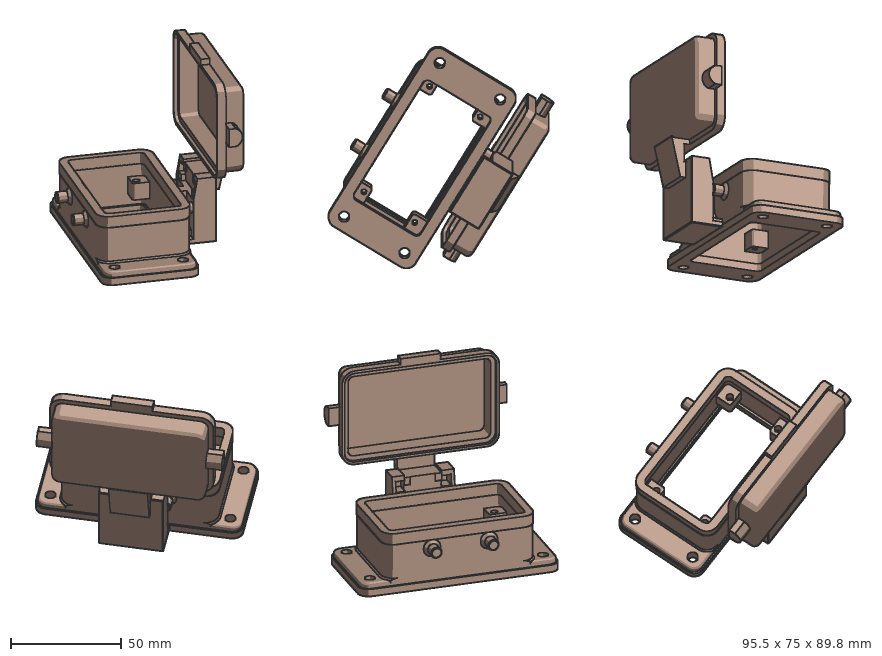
import cadquery as cq

flange_length, flange_depth, flange_height = 95.5, 45.6, 3.5
flange_radius = 5.1
flange_hole_diameter = 4.8
flange_hole_x, flange_hole_y = 41.4, 16.0

body_length, body_depth, body_radius = 72.4, 43.7, 5.9
pad_length, pad_top, pad_radius, pad_fillet = 94.0, 6.2, 4.4, 1.1
foot_size = 0.8
rim_length, rim_depth, rim_radius = 73.0, 44.1, 6.0
rim_bottom, rim_top = 23.5, 28.9
mouth_length, mouth_depth = 65.3, 35.9
cavity_length, cavity_depth, cavity_radius = 67.0, 37.4, 2.3
opening_length, opening_depth = 64.4, 35.3

boss_inner_x, boss_inner_y, boss_radius = 25.1, 10.8, 1.3
boss_bottom, boss_top = 9.2, 17.3
boss_hole_x, boss_hole_y = 28.5, 13.5
boss_hole_diameter, boss_pilot_diameter, boss_hole_depth = 3.15, 2.3, 4.8

peg_x, peg_z, peg_radius, peg_tip_y = 13.7, 19.5, 2.6, 28.3
peg_cone_radius, peg_cone_length, peg_chamfer = 4.1, 1.5, 0.4

hinge_half_width, hinge_front, hinge_back = 14.9, 28.4, 39.2
hinge_bottom, hinge_top, hinge_slope_z = 1.9, 33.6, 23.5
hinge_slope_setback, hinge_chamfer = 1.8, 0.4
hinge_lip_front, hinge_lip_top = 23.6, 4.2
cheek_thickness = 1.6
pocket_bottom, pocket_top, pocket_back = 26.3, 31.2, 35.3
ledge_front = 29.0
hook_front = 30.4
recess_half_width, recess_wide_top = 6.0, 28.65
recess_top_y, recess_bottom_y = 30.7, 31.3
web_top, web_base_top, web_neck_z = 23.2, 7.1, 15.1
web_half_width, web_base_half_width = 2.9, 10.8

lid_front, lid_step, lid_back = 33.2, 37.3, 46.7
lid_center_z = 63.9
lid_flange_length, lid_flange_height, lid_flange_radius = 75.3, 46.0, 6.1
lid_cup_length, lid_cup_height, lid_cup_radius, lid_cup_fillet = 70.7, 41.4, 3.8, 2.3
lid_lip, lid_wall = 1.2, 1.2
lid_ledge_depth, lid_floor = 1.9, 2.6
lid_tab_length, lid_tab_top = 19.1, 89.8
ear_span, ear_half_height = 85.4, 4.4
ear_flat_back, ear_tip_y = 40.5, 43.6

arm_half_width, arm_front, arm_hook_top = 9.0, 39.9, 32.4
arm_bottom, arm_bottom_back = 24.9, 41.9
arm_root_z, arm_root_back = 43.7, 46.3

overlap = 0.5


def block(x_range, y_range, z_range):
    """Axis-aligned block between the given limits."""
    (x0, x1), (y0, y1), (z0, z1) = x_range, y_range, z_range
    return cq.Workplane("XY").box(x1 - x0, y1 - y0, z1 - z0, centered=False).translate((x0, y0, z0))


def upright_block(length, depth, radius, bottom, top):
    """Block with rounded vertical corners, centred on the Z axis."""
    solid = cq.Workplane("XY").workplane(offset=bottom).rect(length, depth).extrude(top - bottom)
    return solid.edges("|Z").fillet(radius)


def lid_block(length, height, radius, front, back):
    """Block with rounded corners along Y, centred on the middle of the cover."""
    plane = cq.Workplane("XZ", origin=(0, front, lid_center_z))
    return plane.rect(length, height).extrude(front - back).edges("|Y").fillet(radius)


def side_profile(points, half_width):
    """Y-Z outline extruded to both sides of X = 0."""
    return cq.Workplane("YZ").polyline(points).close().extrude(half_width, both=True)


def make_housing_shell():
    flange = upright_block(flange_length, flange_depth, flange_radius, 0, flange_height)
    pad_blank = upright_block(pad_length, body_depth, pad_radius, flange_height, pad_top + foot_size)
    pad = upright_block(pad_length, body_depth, pad_radius, flange_height, pad_top)
    pad = pad.faces(">Z").edges().fillet(pad_fillet)
    foot = upright_block(body_length + 2 * foot_size, body_depth + 2 * foot_size,
                         body_radius + foot_size, flange_height, pad_top + foot_size)
    foot = foot.faces(">Z").edges().chamfer(foot_size).intersect(pad_blank)
    body = upright_block(body_length, body_depth, body_radius, flange_height, rim_top)
    rim = upright_block(rim_length, rim_depth, rim_radius, rim_bottom, rim_top)
    mouth = upright_block(mouth_length, mouth_depth, cavity_radius, flange_height, rim_top + overlap)
    cavity = upright_block(cavity_length, cavity_depth, cavity_radius, flange_height, rim_bottom)
    opening = upright_block(opening_length, opening_depth, cavity_radius, -overlap, flange_height + overlap)
    mounting_holes = (
        cq.Workplane("XY")
        .rect(2 * flange_hole_x, 2 * flange_hole_y, forConstruction=True)
        .vertices()
        .circle(flange_hole_diameter / 2)
        .extrude(pad_top + overlap)
    )
    shell = flange.union(pad).union(foot).union(body).union(rim)
    return shell.cut(mouth).cut(cavity).cut(opening).cut(mounting_holes)


def make_screw_bosses():
    bosses = cq.Workplane("XY")
    for side_x in (-1, 1):
        for side_y in (-1, 1):
            size_x = cavity_length / 2 + boss_radius - boss_inner_x
            size_y = cavity_depth / 2 + boss_radius - boss_inner_y
            center_x = side_x * (boss_inner_x + size_x / 2)
            center_y = side_y * (boss_inner_y + size_y / 2)
            boss = upright_block(size_x, size_y, boss_radius, boss_bottom, boss_top)
            bosses = bosses.add(boss.translate((center_x, center_y, 0)))
    bosses = bosses.combine()
    hole_points = [(x * boss_hole_x, y * boss_hole_y) for x in (-1, 1) for y in (-1, 1)]
    top = cq.Workplane("XY", origin=(0, 0, boss_top)).pushPoints(hole_points)
    holes = top.circle(boss_hole_diameter / 2).extrude(-boss_hole_depth)
    pilots = top.circle(boss_pilot_diameter / 2).extrude(boss_bottom - boss_top)
    return bosses.cut(holes).cut(pilots)


def make_pegs():
    wall_y = body_depth / 2
    cone_end = wall_y + peg_cone_length
    outline = [
        (0, wall_y - overlap),
        (peg_cone_radius, wall_y - overlap),
        (peg_cone_radius, wall_y),
        (peg_radius, cone_end),
        (peg_radius, peg_tip_y - peg_chamfer),
        (peg_radius - peg_chamfer, peg_tip_y),
        (0, peg_tip_y),
    ]
    peg = cq.Workplane("XY").polyline(outline).close().revolve(360, (0, 0), (0, 1))
    pegs = cq.Workplane("XY")
    for x in (-peg_x, peg_x):
        rear_peg = peg.translate((x, 0, peg_z))
        pegs = pegs.add(rear_peg).add(rear_peg.mirror("XZ"))
    return pegs.combine()


def make_hinge_box():
    top_front = hinge_front + hinge_slope_setback
    outline = [
        (hinge_back, hinge_bottom),
        (hinge_back, hinge_top),
        (top_front, hinge_top),
        (hinge_front, hinge_slope_z),
        (hinge_front, hinge_lip_top),
        (hinge_lip_front, hinge_lip_top),
        (hinge_lip_front, hinge_bottom),
    ]
    box = side_profile(outline, hinge_half_width)
    box = box.faces(">Y or <Z").edges().chamfer(hinge_chamfer)

    open_front = hinge_front - overlap
    hook_slot = block((-arm_half_width, arm_half_width), (open_front, hinge_back + overlap),
                      (arm_hook_top, hinge_top + overlap))
    box = box.cut(hook_slot)
    for side in (-1, 1):
        pocket_x = sorted((side * arm_half_width, side * (hinge_half_width - cheek_thickness)))
        box = box.cut(block(pocket_x, (open_front, pocket_back), (pocket_bottom, pocket_top)))
        box = box.cut(block(pocket_x, (open_front, ledge_front), (web_top, pocket_bottom)))

    box = box.cut(block((-arm_half_width, arm_half_width), (open_front, hook_front), (web_top, arm_hook_top)))
    recess = side_profile(
        [
            (open_front, web_top),
            (recess_bottom_y, web_top),
            (recess_top_y, arm_hook_top),
            (open_front, arm_hook_top),
        ],
        arm_half_width,
    )
    for side in (-1, 1):
        leg_x = sorted((side * recess_half_width, side * arm_half_width))
        recess = recess.cut(block(leg_x, (open_front, hinge_back), (recess_wide_top, arm_hook_top)))
    box = box.cut(recess)
    return box


def make_hinge_web():
    start_y = body_depth / 2 - overlap
    neck_mid_x, neck_mid_z = 3.5, 11.7
    knee_x, knee_z = 5.3, 9.4
    sweep_mid_x, sweep_mid_z = 7.6, 7.8
    half_web = (
        cq.Workplane("XZ", origin=(0, start_y, 0))
        .moveTo(0, web_top)
        .lineTo(web_half_width, web_top)
        .lineTo(web_half_width, web_neck_z)
        .threePointArc((neck_mid_x, neck_mid_z), (knee_x, knee_z))
        .threePointArc((sweep_mid_x, sweep_mid_z), (web_base_half_width, web_base_top))
        .lineTo(web_base_half_width, hinge_lip_top)
        .lineTo(0, hinge_lip_top)
        .close()
        .extrude(start_y - hinge_front - overlap)
    )
    return half_web.union(half_web.mirror("YZ"))


def make_lid():
    flange = lid_block(lid_flange_length, lid_flange_height, lid_flange_radius, lid_front, lid_step)
    cup = lid_block(lid_cup_length, lid_cup_height, lid_cup_radius, lid_step - overlap, lid_back)
    cup = cup.faces(">Y").edges().fillet(lid_cup_fillet)
    tab = block((-lid_tab_length / 2, lid_tab_length / 2), (lid_front, lid_step),
                (lid_center_z + lid_flange_height / 2 - overlap, lid_tab_top))

    ears = (
        cq.Workplane("YZ", origin=(0, 0, lid_center_z))
        .moveTo(lid_step, -ear_half_height)
        .lineTo(ear_flat_back, -ear_half_height)
        .threePointArc((ear_tip_y, 0), (ear_flat_back, ear_half_height))
        .lineTo(lid_step, ear_half_height)
        .close()
        .extrude(ear_span / 2, both=True)
    )

    ledge_y = lid_front + lid_ledge_depth
    gasket_recess = lid_block(lid_flange_length - 2 * lid_lip, lid_flange_height - 2 * lid_lip,
                              lid_flange_radius - lid_lip, lid_front - overlap, ledge_y)
    cup_cavity = lid_block(lid_cup_length - 2 * lid_wall, lid_cup_height - 2 * lid_wall,
                           lid_cup_radius - lid_wall, lid_front, lid_back - lid_floor)
    return flange.union(cup).union(ears).union(tab).cut(gasket_recess).cut(cup_cavity)


def make_lid_arm():
    lid_flange_bottom = lid_center_z - lid_flange_height / 2
    outline = [
        (lid_step, arm_root_z),
        (arm_root_back, arm_root_z),
        (arm_bottom_back, arm_bottom),
        (hinge_back - overlap, arm_bottom),
        (hinge_back - overlap, arm_hook_top),
        (arm_front, arm_hook_top),
        (arm_front, lid_flange_bottom),
        (lid_step, lid_flange_bottom),
    ]
    return side_profile(outline, arm_half_width)


result = (
    make_housing_shell()
    .union(make_screw_bosses())
    .union(make_pegs())
    .union(make_hinge_web())
    .union(make_hinge_box())
    .union(make_lid())
    .union(make_lid_arm())
)